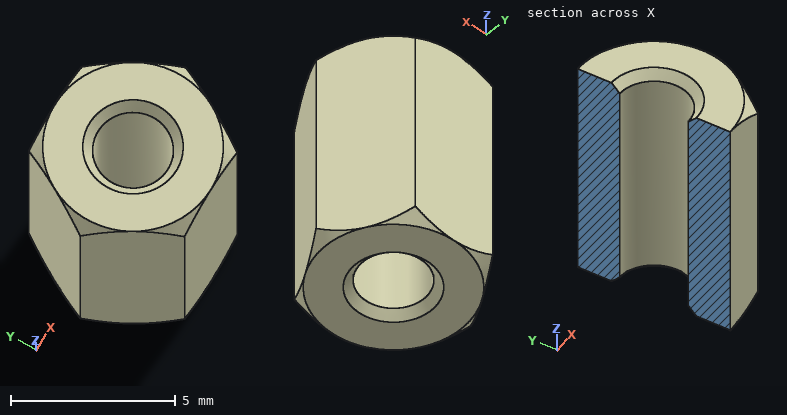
import cadquery as cq
import math

across_flats = 5.5
length = 8.0
bore_diameter = 2.46
countersink_depth = 0.3
hex_sides = 6

across_corners = across_flats / math.cos(math.pi / hex_sides)
flat_radius = across_flats / 2
corner_radius = across_corners / 2
corner_drop = corner_radius - flat_radius


def hex_body():
    """Hexagonal prism standing on Z = 0, with two corners on the X axis."""
    return cq.Workplane("XY").polygon(hex_sides, across_corners).extrude(length)


def chamfer_envelope():
    """Cylinder through the hexagon corners, bevelled at both ends down to the flats."""
    return cq.Workplane("XY").circle(corner_radius).extrude(length).edges().chamfer(corner_drop)


def cut_bore(body):
    """Through bore along Z, countersunk at both ends."""
    bored = body.faces(">Z").workplane().hole(bore_diameter)
    bore_rims = bored.edges(cq.selectors.RadiusNthSelector(0))
    return bore_rims.chamfer(countersink_depth)


result = cut_bore(hex_body().intersect(chamfer_envelope()))